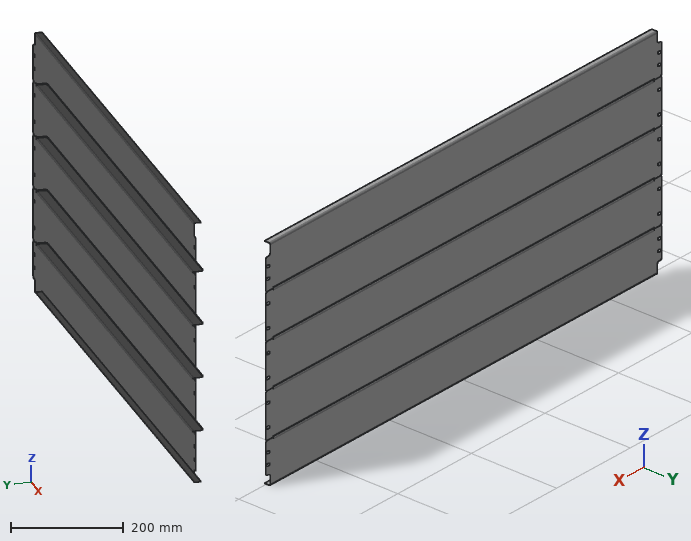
import cadquery as cq
import math

length = 1076.0
height = 490.0
sheet = 1.5
inner_bend = 1.5
outer_bend = inner_bend + sheet

panel_count = 5
rim_setback = 5.0
seam_pitch = (height + 2 * rim_setback) / panel_count

seam_flange_depth = 20.0
seam_flange_inset = 20.0
tip_chamfer = 3.0
rim_flange_depth = 14.0

notch_length = 12.0
notch_height = 25.0
notch_radius = 4.0
corner_radius = 4.0

cut_depth = 4 * sheet

slot_length = 9.0
slot_height = 5.0
slot_edge_gap = 2.0
slot_step = seam_pitch / 4


def plate(bottom, top):
    """Flat sheet from Z = bottom to Z = top, back face on Y = 0, with rounded corners."""
    return (
        cq.Workplane("XY")
        .box(length, sheet, top - bottom, centered=(True, False, False))
        .translate((0, -sheet, bottom))
        .edges("|Y")
        .fillet(corner_radius)
    )


def block(x_size, z_size, x_middle, z_middle):
    """Cutting block that passes through the sheet."""
    return cq.Workplane("XY").box(x_size, cut_depth, z_size).translate((x_middle, 0, z_middle))


def flange(flange_length, depth, chamfer):
    """Bent strip whose outer face lies on Z = 0, joining a sheet that lies below it."""
    bend_diagonal = math.sqrt(0.5)
    outer_middle = outer_bend * (1 - bend_diagonal)
    inner_middle = outer_bend - inner_bend * bend_diagonal
    strip = (
        cq.Workplane("YZ")
        .moveTo(0, -outer_bend)
        .threePointArc((-outer_middle, -outer_middle), (-outer_bend, 0))
        .lineTo(-depth, 0)
        .lineTo(-depth, -sheet)
        .lineTo(-outer_bend, -sheet)
        .threePointArc((-inner_middle, -inner_middle), (-sheet, -outer_bend))
        .close()
        .extrude(flange_length / 2, both=True)
    )
    if chamfer:
        strip = strip.faces("<Y").edges("|Z").chamfer(chamfer)
    return strip


def add_flange(panel, edge, side, flange_length, depth, chamfer=0):
    """Turn the margin at Z = edge into a bent flange; side is 1 for a top edge, -1 for a bottom one."""
    margin = block(flange_length, outer_bend, 0, edge - side * outer_bend / 2)
    strip = flange(flange_length, depth, chamfer)
    if side < 0:
        strip = strip.mirror("XY")
    return panel.cut(margin).union(strip.translate((0, 0, edge)))


def add_seam_edge(panel, edge, side):
    """Deep flange along a seam, set in from both panel ends."""
    return add_flange(panel, edge, side, length - 2 * seam_flange_inset, seam_flange_depth, tip_chamfer)


def add_rim_edge(panel, edge, side):
    """Notched corners and a shallow flange along the outer edge of the wall."""
    for end in (-1, 1):
        notch = block(
            2 * notch_length, 2 * notch_height, end * length / 2, edge
        ).edges("|Y").fillet(notch_radius)
        panel = panel.cut(notch)
        lug_corner = cq.selectors.NearestToPointSelector(
            (end * length / 2, -sheet / 2, edge - side * notch_height)
        )
        panel = panel.edges("|Y").edges(lug_corner).fillet(corner_radius)
    return add_flange(panel, edge, side, length - 2 * notch_length, rim_flange_depth)


def slot(x_middle, z_middle):
    """Cutting shape of a slot with round ends, along X."""
    return (
        cq.Workplane("XZ", origin=(x_middle, 0, z_middle))
        .slot2D(slot_length, slot_height)
        .extrude(cut_depth / 2, both=True)
    )


def cut_slots(panel, levels):
    """One slot at each panel end for every Z level."""
    slot_middle = length / 2 - slot_edge_gap - slot_length / 2
    for level in levels:
        for end in (-1, 1):
            panel = panel.cut(slot(end * slot_middle, level))
    return panel


def middle_panel(index):
    """Panel between two seams; index counts from the middle panel of the wall."""
    middle = index * seam_pitch
    bottom = middle - seam_pitch / 2
    top = middle + seam_pitch / 2
    panel = plate(bottom, top)
    panel = add_seam_edge(panel, bottom, -1)
    panel = add_seam_edge(panel, top, 1)
    return cut_slots(panel, (middle - slot_step, middle + slot_step))


def end_panel(side):
    """Panel with one seam and one outer edge; side is 1 for the top panel, -1 for the bottom one."""
    seam = side * (panel_count - 2) * seam_pitch / 2
    rim = side * height / 2
    panel = plate(min(seam, rim), max(seam, rim))
    panel = add_seam_edge(panel, seam, -side)
    panel = add_rim_edge(panel, rim, side)
    return cut_slots(panel, (seam + side * slot_step, seam + side * 2 * slot_step))


middle_reach = (panel_count - 3) // 2
middle_panels = [middle_panel(index) for index in range(-middle_reach, middle_reach + 1)]
end_panels = [end_panel(side) for side in (-1, 1)]

result = cq.Compound.makeCompound([panel.solids().val() for panel in middle_panels + end_panels])